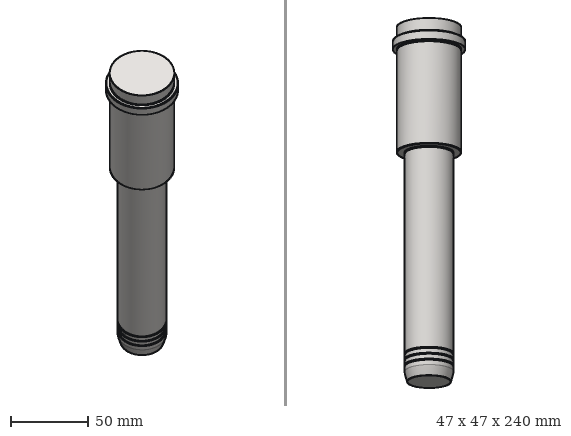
import cadquery as cq

total_length = 240.0

shaft_diameter = 32.0
tip_diameter = 28.6
tip_length = 7.0
tip_bulge = 0.15
tip_chamfer = 0.3

groove_count = 3
groove_pitch = 4.0
groove_half_width = 0.5
groove_depth = 0.5
first_groove_height = 10.5

body_diameter = 42.0
body_length = 85.0
body_chamfer = 0.5
top_chamfer = 0.2
relief_half_width = 0.5
relief_depth = 0.5

flange_diameter = 47.0
flange_thickness = 6.0
flange_offset = 9.0
flange_chamfer = 0.5

shaft_radius = shaft_diameter / 2
tip_radius = tip_diameter / 2
body_radius = body_diameter / 2
body_bottom = total_length - body_length
flange_top = total_length - flange_offset
flange_bottom = flange_top - flange_thickness


def make_shaft():
    """Shaft whose end narrows along a slightly bulging arc, then a small chamfer."""
    arc_middle = (
        (shaft_radius + tip_radius) / 2 + tip_bulge,
        (tip_length + tip_chamfer) / 2,
    )
    return (
        cq.Workplane("XZ")
        .lineTo(tip_radius - tip_chamfer, 0)
        .lineTo(tip_radius, tip_chamfer)
        .threePointArc(arc_middle, (shaft_radius, tip_length))
        .lineTo(shaft_radius, body_bottom)
        .lineTo(0, body_bottom)
        .close()
        .revolve(360, (0, 0, 0), (0, 1, 0))
    )


def make_body():
    """Cylinder with chamfered lower and upper edges."""
    return (
        cq.Workplane("XY", origin=(0, 0, body_bottom))
        .circle(body_radius)
        .extrude(body_length)
        .faces("<Z")
        .chamfer(body_chamfer)
        .faces(">Z")
        .chamfer(top_chamfer)
    )


def make_flange():
    """Disc with a chamfered upper edge."""
    return (
        cq.Workplane("XY", origin=(0, 0, flange_bottom))
        .circle(flange_diameter / 2)
        .extrude(flange_thickness)
        .faces(">Z")
        .chamfer(flange_chamfer)
    )


def make_v_groove(centre_height, cylinder_radius, half_width, depth):
    """Ring of triangular section that cuts a V groove around a cylinder."""
    return (
        cq.Workplane("XZ")
        .moveTo(cylinder_radius, centre_height - half_width)
        .lineTo(cylinder_radius - depth, centre_height)
        .lineTo(cylinder_radius, centre_height + half_width)
        .close()
        .revolve(360, (0, 0, 0), (0, 1, 0))
    )


result = make_shaft().union(make_body())

for index in range(groove_count):
    groove_height = first_groove_height + index * groove_pitch
    result = result.cut(make_v_groove(groove_height, shaft_radius, groove_half_width, groove_depth))

for relief_height in (flange_top + relief_half_width, flange_bottom - relief_half_width):
    result = result.cut(make_v_groove(relief_height, body_radius, relief_half_width, relief_depth))

root_relief_height = body_bottom - relief_half_width
result = result.cut(make_v_groove(root_relief_height, shaft_radius, relief_half_width, relief_depth))

result = result.union(make_flange())